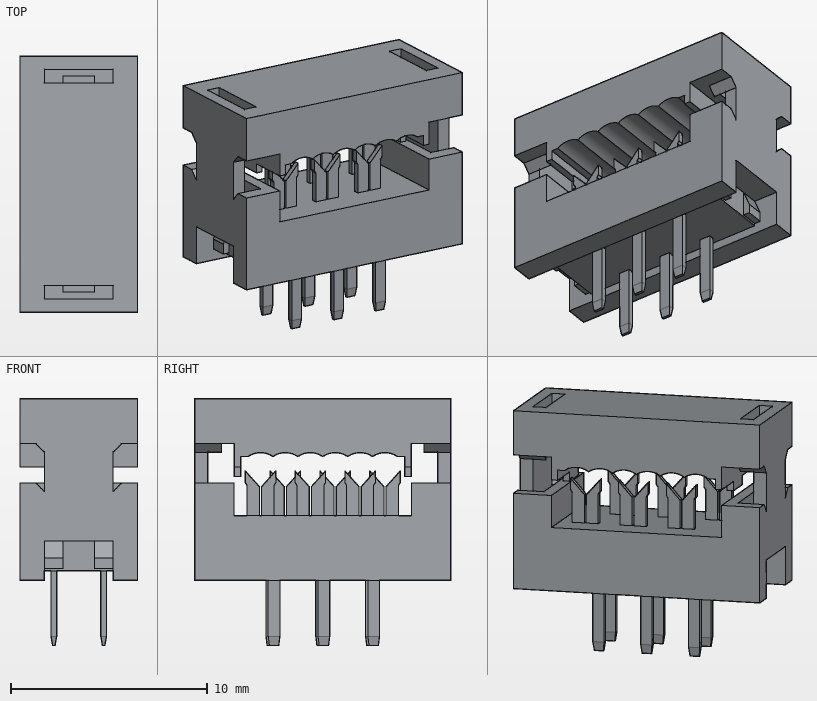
import cadquery as cq


WIDTH = 6.0
LENGTH = 13.07
TOTAL_HEIGHT = 12.6
HOUSING_HEIGHT = 9.27
SHOULDER_Z = 4.97
TROUGH_Z = 3.3
TROUGH_LENGTH = 9.04
CHANNEL_HEIGHT = 0.48

COVER_END_Z = 6.97
COVER_MIDDLE_Z = 6.31
LEG_THICKNESS = 0.34
LEG_Z = 5.78
LEG_TIP_Z = 5.29
LEG_TIP_WIDTH = 1.6

ARM_WIDTH = 3.5
ARM_THICKNESS = 0.68
ARM_BOTTOM_Z = 2.0
WINDOW_DEPTH = 0.7
FLARE = 0.44
HOOK_TOP_Z = 3.0
RIB_WIDTH = 1.6
RIB_DEPTH = WINDOW_DEPTH / 2
RIB_TOP_Z = 3.6
LEDGE_BOTTOM_Z = 0.61
LEDGE_FACE_TOP_Z = 1.14

WIRE_PITCH = 1.27
WIRE_COUNT = 6
WIRE_GROOVE_DEPTH = 0.2
ROW_X = 1.27
CONTACTS_PER_ROW = WIRE_COUNT // 2
CONTACT_PITCH = 2 * WIRE_PITCH
CONTACT_THICKNESS = 0.3
FORK_WIDTH = 1.38
FORK_TIP_WIDTH = 1.56
FORK_SLIT = 0.1
FORK_TIP_Z = 5.59
FORK_V_Z = 4.78
BARB_TOP_Z = 4.99
BARB_BOTTOM_Z = 4.85
FORK_ROOT_Z = 2.8
PIN_WIDTH = 0.6
PIN_SHIFT = 0.06
PIN_TIP_WIDTH = 0.48
PIN_TIP_THICKNESS = 0.13
PIN_TIP_LENGTH = 0.48
PIN_ROOT_Z = 1.0

ARM_INNER_Y = LENGTH / 2 - ARM_THICKNESS
SLOT_INNER_Y = ARM_INNER_Y - WINDOW_DEPTH
PIN_BOTTOM_Z = HOUSING_HEIGHT - TOTAL_HEIGHT


def block(x_range, y_range, z_range):
    """Axis-aligned box between the given limits."""
    sizes = [high - low for low, high in (x_range, y_range, z_range)]
    corner = (x_range[0], y_range[0], z_range[0])
    return cq.Workplane("XY").box(*sizes, centered=False).translate(corner)


def centred_block(width, length, z_range):
    """Box centred on the Z axis."""
    return block((-width / 2, width / 2), (-length / 2, length / 2), z_range)


def at_both_ends(end_shape):
    """A shape at the -Y end together with its mirror image at the +Y end."""
    return end_shape.union(end_shape.mirror("XZ"))


def extrude_along_y(points, y_range):
    """Prism with an (x, z) outline, filling the given Y range."""
    prism = cq.Workplane("XZ").polyline(points).close().extrude(y_range[0] - y_range[1])
    return prism.translate((0, y_range[0], 0))


def make_base():
    base = centred_block(WIDTH, LENGTH, (0, SHOULDER_Z))
    base = base.cut(centred_block(WIDTH, TROUGH_LENGTH, (TROUGH_Z, SHOULDER_Z)))
    base = base.cut(centred_block(ARM_WIDTH, LENGTH, (0, CHANNEL_HEIGHT)))
    half_slot = ARM_WIDTH / 2
    slot_outline = [
        (-half_slot, 0),
        (half_slot, 0),
        (half_slot, SHOULDER_Z - FLARE),
        (half_slot + FLARE, SHOULDER_Z),
        (-half_slot - FLARE, SHOULDER_Z),
        (-half_slot, SHOULDER_Z - FLARE),
    ]
    slot = extrude_along_y(slot_outline, (-LENGTH / 2, -SLOT_INNER_Y))
    base = base.cut(at_both_ends(slot))
    return base.union(at_both_ends(make_ledges()))


def make_ledges():
    """Pair of ramped latch ledges on the inner wall of the -Y slot."""
    ledge_y = -SLOT_INNER_Y - RIB_DEPTH
    ledge = (
        cq.Workplane("YZ")
        .moveTo(-SLOT_INNER_Y, LEDGE_BOTTOM_Z)
        .lineTo(ledge_y, LEDGE_BOTTOM_Z)
        .lineTo(ledge_y, LEDGE_FACE_TOP_Z)
        .lineTo(-SLOT_INNER_Y, ARM_BOTTOM_Z)
        .close()
        .extrude((ARM_WIDTH - RIB_WIDTH) / 2)
        .translate((RIB_WIDTH / 2, 0, 0))
    )
    return ledge.union(ledge.mirror("YZ"))


def make_latch_arm():
    """Arm at the -Y end of the cover, with its flared root, hook and guide rib."""
    half_arm = ARM_WIDTH / 2
    outer_y = -LENGTH / 2
    root_outline = [
        (-half_arm - FLARE, COVER_END_Z),
        (half_arm + FLARE, COVER_END_Z),
        (half_arm, COVER_END_Z - FLARE),
        (-half_arm, COVER_END_Z - FLARE),
    ]
    across = (-half_arm, half_arm)
    window_y = (-ARM_INNER_Y, -SLOT_INNER_Y)
    rib_y = (-SLOT_INNER_Y - RIB_DEPTH, -SLOT_INNER_Y)
    arm = extrude_along_y(root_outline, (outer_y, -SLOT_INNER_Y))
    arm = arm.cut(block(across, window_y, (ARM_BOTTOM_Z, COVER_END_Z)))
    arm = arm.union(block(across, (outer_y, -ARM_INNER_Y), (ARM_BOTTOM_Z, COVER_END_Z)))
    arm = arm.union(block(across, window_y, (ARM_BOTTOM_Z, HOOK_TOP_Z)))
    return arm.union(block((-RIB_WIDTH / 2, RIB_WIDTH / 2), rib_y, (HOOK_TOP_Z, RIB_TOP_Z)))


def make_wire_grooves():
    """Row of shallow arched grooves, one per wire, to cut from the cover."""
    start_y = -WIRE_COUNT * WIRE_PITCH / 2
    outline = cq.Workplane("YZ").moveTo(start_y, COVER_MIDDLE_Z)
    for wire in range(WIRE_COUNT):
        crown = (start_y + (wire + 0.5) * WIRE_PITCH, COVER_MIDDLE_Z + WIRE_GROOVE_DEPTH)
        end = (start_y + (wire + 1) * WIRE_PITCH, COVER_MIDDLE_Z)
        outline = outline.threePointArc(crown, end)
    outline = outline.lineTo(-start_y, LEG_Z).lineTo(start_y, LEG_Z).close()
    return outline.extrude(WIDTH / 2, both=True)


def make_cover():
    cover = centred_block(WIDTH, LENGTH, (COVER_END_Z, HOUSING_HEIGHT))
    cover = cover.union(centred_block(WIDTH, TROUGH_LENGTH, (LEG_Z, COVER_END_Z)))
    cover = cover.union(centred_block(LEG_TIP_WIDTH, TROUGH_LENGTH, (LEG_TIP_Z, LEG_Z)))
    cable_space = TROUGH_LENGTH - 2 * LEG_THICKNESS
    cover = cover.cut(centred_block(WIDTH, cable_space, (LEG_TIP_Z, COVER_MIDDLE_Z)))
    cover = cover.cut(make_wire_grooves())
    window = block(
        (-ARM_WIDTH / 2, ARM_WIDTH / 2),
        (-ARM_INNER_Y, -SLOT_INNER_Y),
        (COVER_END_Z, HOUSING_HEIGHT),
    )
    cover = cover.cut(at_both_ends(window))
    return cover.union(at_both_ends(make_latch_arm()))


def make_fork():
    """Slotted wire-piercing fork centred on the Z axis."""
    prong = (
        cq.Workplane("YZ")
        .moveTo(FORK_SLIT / 2, FORK_ROOT_Z)
        .lineTo(FORK_SLIT / 2, FORK_V_Z)
        .lineTo(FORK_TIP_WIDTH / 2, FORK_TIP_Z)
        .lineTo(FORK_TIP_WIDTH / 2, BARB_TOP_Z)
        .lineTo(FORK_WIDTH / 2, BARB_BOTTOM_Z)
        .lineTo(FORK_WIDTH / 2, FORK_ROOT_Z)
        .close()
        .extrude(CONTACT_THICKNESS / 2, both=True)
    )
    return prong.union(prong.mirror("XZ"))


def make_pin():
    """Solder pin with a tapered tip, centred on the Z axis."""
    taper_z = PIN_BOTTOM_Z + PIN_TIP_LENGTH
    shank = centred_block(CONTACT_THICKNESS, PIN_WIDTH, (taper_z, PIN_ROOT_Z))
    tip = (
        cq.Workplane("XY", origin=(0, 0, PIN_BOTTOM_Z))
        .rect(PIN_TIP_THICKNESS, PIN_TIP_WIDTH)
        .workplane(offset=PIN_TIP_LENGTH)
        .rect(CONTACT_THICKNESS, PIN_WIDTH)
        .loft()
    )
    return shank.union(tip)


def add_contacts(body):
    """Two staggered rows: forks sit half a wire pitch to one side of the pin grid."""
    fork = make_fork()
    pin = make_pin()
    for side in (-1, 1):
        for index in range(CONTACTS_PER_ROW):
            grid_y = (index - (CONTACTS_PER_ROW - 1) / 2) * CONTACT_PITCH
            fork_y = grid_y - side * WIRE_PITCH / 2
            pin_y = grid_y + side * PIN_SHIFT
            body = body.union(fork.translate((side * ROW_X, fork_y, 0)))
            body = body.union(pin.translate((side * ROW_X, pin_y, 0)))
    return body


result = add_contacts(make_base().union(make_cover()))